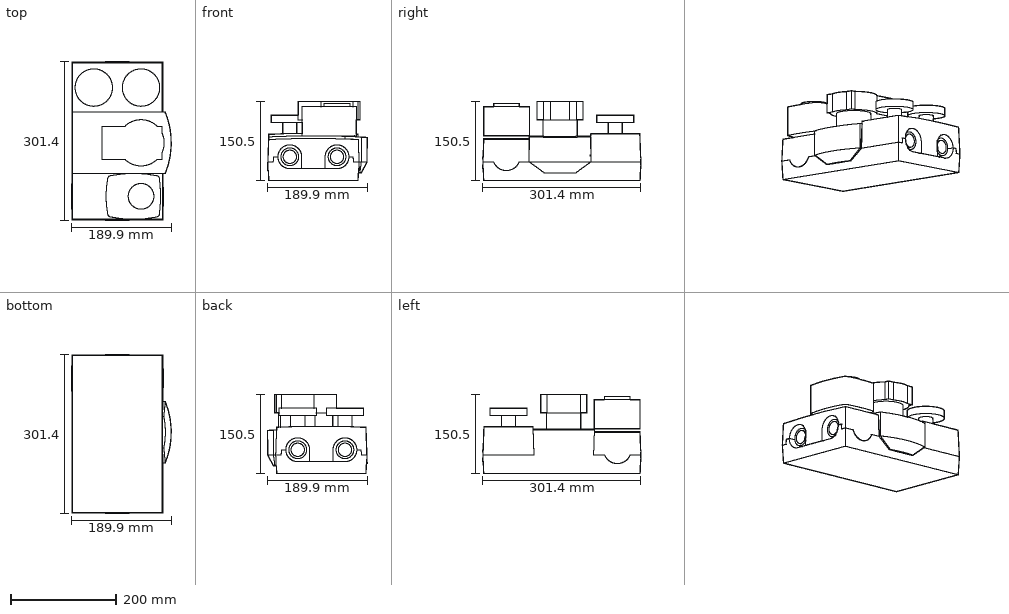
import cadquery as cq
import math

PARTING_Z = 35.5
HALF_WIDTH = 86.8
HALF_LENGTH = 300.5 / 2
BASE_HALF_WIDTH = 85.0
BASE_HALF_LENGTH = 149.0
WALL_DRAFT = math.tan(math.radians(2))

FRONT_CREST_Z = 80.2
REAR_CREST_Z = 90.0
MIDDLE_CREST_Z = (FRONT_CREST_Z + REAR_CREST_Z) / 2
CROWN_RISE = 2.0
CROWN_HALF_WIDTH = 85.5
CROWN_RADIUS = (CROWN_HALF_WIDTH**2 + CROWN_RISE**2) / (2 * CROWN_RISE)

REAR_COVER_INNER_Y = 53.0
FRONT_COVER_INNER_Y = -60.3

LEDGE_HALF_WIDTH = 76.5
LEDGE_TOP_HALF_WIDTH = 75.5

AXIS_X = 45.0
PORT_AXIS_Z = 45.2
PORT_RADIUS = 22.5
PORT_DEPTH = 30.0
SPIGOT_RADIUS = 17.0
SPIGOT_BORE_RADIUS = 12.7
SPIGOT_RECESS = 9.0
PLUG_DEPTH = 42.2

TAB_RADIUS = 26.2
TAB_Y = -105.5

BULGE_CORNER_X = 91.0
BULGE_APEX_X = 102.5
BULGE_ROOT_X = 60.3
BULGE_FRONT_Y = -62.0
BULGE_REAR_Y = 55.2
CHIN_Z = 14.8
CHIN_CORNER_X = 88.3
CHIN_APEX_X = 91.3
CHIN_HALF_LENGTH = 30.0

PUSH_KNOB_Y = 101.5
PUSH_KNOB_RADIUS = 35.5
PUSH_KNOB_BOTTOM_Z = 110.0
PUSH_KNOB_TOP_Z = 124.5
PUSH_STEM_RADIUS = 13.5

TURN_KNOB_Y = (BULGE_FRONT_Y + BULGE_REAR_Y) / 2
TURN_KNOB_RADIUS = 44.0
TURN_KNOB_BOTTOM_Z = 115.0
TURN_KNOB_TOP_Z = 150.5
TURN_STEM_RADIUS = 33.0
LEVER_MIN_X = -29.2
LEVER_MAX_X = 85.0
LEVER_WIDTH = 63.0

HANDLE_Y = -105.2
HANDLE_BOTTOM_Z = MIDDLE_CREST_Z
HANDLE_TOP_Z = 140.5
HANDLE_LEFT_X = -21.7
HANDLE_RIGHT_X = 82.0
HANDLE_LEFT_CORNER_X = -17.5
HANDLE_RIGHT_CORNER_X = 79.3
HANDLE_APEX_X = 34.5
HANDLE_CORNER_HALF_LENGTH = 38.3
HANDLE_HALF_LENGTH = 43.7
HANDLE_CORNER_RADIUS = 6.0
BUTTON_RADIUS = 24.5
BUTTON_TOP_Z = 146.8

TALL = 181.0
OVERRUN = 3.0


def box(x0, x1, y0, y1, z0, z1):
    return cq.Workplane("XY").box(x1 - x0, y1 - y0, z1 - z0, centered=False).translate((x0, y0, z0))


def disc(x, y, radius, z0, z1):
    return cq.Workplane("XY").workplane(offset=z0).center(x, y).circle(radius).extrude(z1 - z0)


def end_cylinder(x, radius, y0, y1):
    """Cylinder along Y on a cable port axis."""
    return cq.Workplane("XZ", origin=(x, y0, PORT_AXIS_Z)).circle(radius).extrude(y0 - y1)


def frustum(lower, upper, z0, z1):
    """Block between two rectangles, each given as (x half size, y minimum, y maximum)."""
    def outline(plane, size):
        half, y0, y1 = size
        return plane.center(0, (y0 + y1) / 2).rect(2 * half, y1 - y0)

    bottom = outline(cq.Workplane("XY").workplane(offset=z0), lower)
    middle_shift = (upper[1] + upper[2] - lower[1] - lower[2]) / 2
    top = bottom.workplane(offset=z1 - z0).center(0, middle_shift)
    return top.rect(2 * upper[0], upper[2] - upper[1]).loft(ruled=True)


def drafted_block(y0, y1, z0, z1, lean0, lean1):
    """Full-width block sized at the parting height; lean +1 narrows and -1 widens that Y wall upwards."""
    def size(z):
        inset = (z - PARTING_Z) * WALL_DRAFT
        return (HALF_WIDTH - inset, y0 + lean0 * inset, y1 - lean1 * inset)

    return frustum(size(z0), size(z1), z0, z1)


def under_crown(crest_z):
    """Space below the crowned roof."""
    reach = BULGE_APEX_X + OVERRUN
    edge_z = crest_z - CROWN_RADIUS + math.sqrt(CROWN_RADIUS**2 - reach**2)
    return (
        cq.Workplane("XZ", origin=(0, TALL, 0))
        .moveTo(-reach, -OVERRUN)
        .lineTo(-reach, edge_z)
        .threePointArc((0, crest_z), (reach, edge_z))
        .lineTo(reach, -OVERRUN)
        .close()
        .extrude(2 * TALL)
    )


def flared_base(top_z):
    """Base that widens from the underside, its walls continued up to top_z."""
    flare = top_z / PARTING_Z
    half_width = BASE_HALF_WIDTH + flare * (HALF_WIDTH - BASE_HALF_WIDTH)
    half_length = BASE_HALF_LENGTH + flare * (HALF_LENGTH - BASE_HALF_LENGTH)
    lower = (BASE_HALF_WIDTH, -BASE_HALF_LENGTH, BASE_HALF_LENGTH)
    return frustum(lower, (half_width, -half_length, half_length), 0, top_z)


def ledge():
    """Raised strip along the housing with sloping flanks, level with the port axes."""
    strip = (
        cq.Workplane("XZ", origin=(0, HALF_LENGTH + OVERRUN, 0))
        .moveTo(-LEDGE_HALF_WIDTH, PARTING_Z)
        .lineTo(-LEDGE_TOP_HALF_WIDTH, PORT_AXIS_Z)
        .lineTo(LEDGE_TOP_HALF_WIDTH, PORT_AXIS_Z)
        .lineTo(LEDGE_HALF_WIDTH, PARTING_Z)
        .close()
        .extrude(2 * (HALF_LENGTH + OVERRUN))
    )
    return strip.intersect(flared_base(PORT_AXIS_Z))


def plug_opening(end):
    """Stadium-shaped opening at one end of the housing; end is +1 for the rear and -1 for the front."""
    outer = end * (HALF_LENGTH + OVERRUN)
    inner = end * (HALF_LENGTH - PLUG_DEPTH)
    y0, y1 = sorted((outer, inner))
    opening = box(-AXIS_X, AXIS_X, y0, y1, PORT_AXIS_Z - PORT_RADIUS, PORT_AXIS_Z + PORT_RADIUS)
    for x in (-AXIS_X, AXIS_X):
        opening = opening.union(end_cylinder(x, PORT_RADIUS, outer, inner))
    return opening


def cover_plug(end):
    """Part of a cover that fills the housing opening, flush with the leaning end wall."""
    walls = drafted_block(-HALF_LENGTH, HALF_LENGTH, PORT_AXIS_Z - PORT_RADIUS, TALL, 1, 1)
    return plug_opening(end).intersect(walls)


def port(end, side):
    """Empty space of one cable port: a pocket squared off towards the middle, around a hollow spigot."""
    outer = end * (HALF_LENGTH + OVERRUN)
    inner = end * (HALF_LENGTH - PORT_DEPTH)
    rim = end * (HALF_LENGTH - SPIGOT_RECESS)
    x = side * AXIS_X
    x0, x1 = sorted((x, x - side * PORT_RADIUS))
    y0, y1 = sorted((outer, inner))
    pocket = end_cylinder(x, PORT_RADIUS, outer, inner)
    pocket = pocket.union(box(x0, x1, y0, y1, PORT_AXIS_Z - PORT_RADIUS, PORT_AXIS_Z))
    spigot = end_cylinder(x, SPIGOT_RADIUS, rim, inner)
    bore = end_cylinder(x, SPIGOT_BORE_RADIUS, outer, inner)
    return pocket.cut(spigot).union(bore)


def blank_cover(end, inner_y, crest_z):
    """Cover with its plug, before the ports are cut; end is +1 for the rear and -1 for the front."""
    if end > 0:
        shell = drafted_block(inner_y, HALF_LENGTH, PARTING_Z, TALL, 1, 1)
    else:
        shell = drafted_block(-HALF_LENGTH, inner_y, PARTING_Z, TALL, 1, 1)
    shell = shell.intersect(under_crown(crest_z))
    return shell.cut(ledge()).union(cover_plug(end))


def side_tabs():
    """Round tabs of the front cover that dip below the parting height on both sides."""
    reach = HALF_WIDTH + OVERRUN
    tabs = cq.Workplane("YZ", origin=(-reach, TAB_Y, PORT_AXIS_Z)).circle(TAB_RADIUS).extrude(2 * reach)
    tab_bottom = PORT_AXIS_Z - TAB_RADIUS
    walls = drafted_block(-HALF_LENGTH, FRONT_COVER_INNER_Y, tab_bottom, PARTING_Z, 1, 1)
    core = box(-LEDGE_HALF_WIDTH, LEDGE_HALF_WIDTH, -HALF_LENGTH, 0, tab_bottom, PARTING_Z)
    return tabs.intersect(walls).cut(core)


def cut_ports(cover, end):
    for side in (-1, 1):
        cover = cover.cut(port(end, side))
    return cover


def push_knobs():
    """Two flat round knobs whose stems are rooted in the rear cover."""
    root_z = PORT_AXIS_Z + PORT_RADIUS
    knobs = cq.Workplane("XY")
    for x in (-AXIS_X, AXIS_X):
        knobs = knobs.union(disc(x, PUSH_KNOB_Y, PUSH_STEM_RADIUS, root_z, PUSH_KNOB_BOTTOM_Z))
        knobs = knobs.union(disc(x, PUSH_KNOB_Y, PUSH_KNOB_RADIUS, PUSH_KNOB_BOTTOM_Z, PUSH_KNOB_TOP_Z))
    return knobs


def bulge_outline(plane, corner_x, apex_x, y0, y1):
    return (
        plane.moveTo(BULGE_ROOT_X, y0)
        .lineTo(corner_x, y0)
        .threePointArc((apex_x, (y0 + y1) / 2), (corner_x, y1))
        .lineTo(BULGE_ROOT_X, y1)
        .close()
    )


def bulge():
    """Bowed wall above the parting height and the chin that tapers back below it."""
    parting = cq.Workplane("XY").workplane(offset=PARTING_Z)
    rim = (BULGE_CORNER_X, BULGE_APEX_X, BULGE_FRONT_Y, BULGE_REAR_Y)
    wall = bulge_outline(parting, *rim).extrude(TALL - PARTING_Z)
    chin = bulge_outline(parting, *rim).workplane(offset=CHIN_Z - PARTING_Z)
    chin_ends = (TURN_KNOB_Y - CHIN_HALF_LENGTH, TURN_KNOB_Y + CHIN_HALF_LENGTH)
    chin = bulge_outline(chin, CHIN_CORNER_X, CHIN_APEX_X, *chin_ends).loft(ruled=True)
    return wall.union(chin)


def turn_knob():
    stem = disc(AXIS_X, TURN_KNOB_Y, TURN_STEM_RADIUS, PORT_AXIS_Z, TURN_KNOB_BOTTOM_Z)
    grip = disc(AXIS_X, TURN_KNOB_Y, TURN_KNOB_RADIUS, TURN_KNOB_BOTTOM_Z, TURN_KNOB_TOP_Z)
    y0 = TURN_KNOB_Y - LEVER_WIDTH / 2
    y1 = TURN_KNOB_Y + LEVER_WIDTH / 2
    lever = box(LEVER_MIN_X, LEVER_MAX_X, y0, y1, TURN_KNOB_BOTTOM_Z, TURN_KNOB_TOP_Z)
    return stem.union(grip).union(lever)


def make_housing(rear_blank, front_blank):
    """Base, raised middle section with its turn knob, and the seats of both covers."""
    base = flared_base(PARTING_Z)
    middle = drafted_block(FRONT_COVER_INNER_Y, REAR_COVER_INNER_Y, PARTING_Z, TALL, -1, -1)
    middle = middle.union(bulge()).intersect(under_crown(MIDDLE_CREST_Z))
    body = base.union(middle).union(ledge())
    for end, blank in ((1, rear_blank), (-1, front_blank)):
        body = body.cut(plug_opening(end)).cut(blank)
    return body.union(turn_knob())


def make_handle():
    """Bowed block with rounded corners and a flat button on top."""
    near = HANDLE_Y - HANDLE_CORNER_HALF_LENGTH
    far = HANDLE_Y + HANDLE_CORNER_HALF_LENGTH
    grip = (
        cq.Workplane("XY")
        .workplane(offset=HANDLE_BOTTOM_Z)
        .moveTo(HANDLE_LEFT_CORNER_X, near)
        .threePointArc((HANDLE_APEX_X, HANDLE_Y - HANDLE_HALF_LENGTH), (HANDLE_RIGHT_CORNER_X, near))
        .threePointArc((HANDLE_RIGHT_X, HANDLE_Y), (HANDLE_RIGHT_CORNER_X, far))
        .threePointArc((HANDLE_APEX_X, HANDLE_Y + HANDLE_HALF_LENGTH), (HANDLE_LEFT_CORNER_X, far))
        .threePointArc((HANDLE_LEFT_X, HANDLE_Y), (HANDLE_LEFT_CORNER_X, near))
        .close()
        .extrude(HANDLE_TOP_Z - HANDLE_BOTTOM_Z)
        .edges("|Z")
        .fillet(HANDLE_CORNER_RADIUS)
    )
    return grip.union(disc(AXIS_X, HANDLE_Y, BUTTON_RADIUS, HANDLE_TOP_Z, BUTTON_TOP_Z))


rear_blank = blank_cover(1, REAR_COVER_INNER_Y, REAR_CREST_Z)
front_blank = blank_cover(-1, FRONT_COVER_INNER_Y, FRONT_CREST_Z).union(side_tabs())

housing = make_housing(rear_blank, front_blank)
rear_cover = cut_ports(rear_blank, 1).union(push_knobs())
front_cover = cut_ports(front_blank, -1)
handle = make_handle()

bodies = (housing, rear_cover, front_cover, handle)
result = cq.Compound.makeCompound([body.solids().val() for body in bodies])